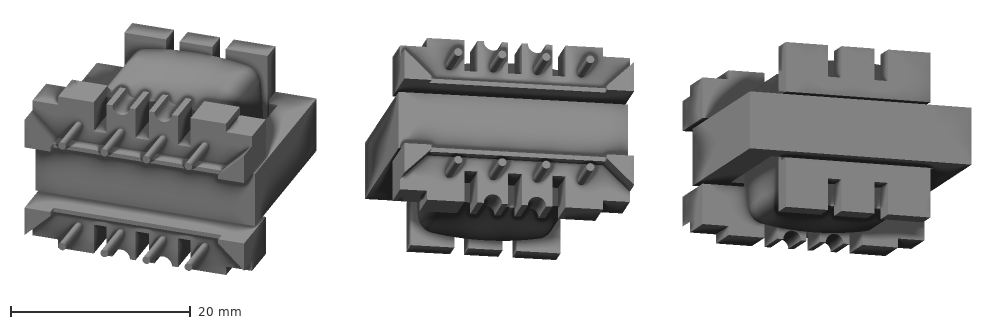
import cadquery as cq


OVERALL_LENGTH = 26.5
OVERALL_HEIGHT = 18.8

CORE_WIDTH = 26.0
CORE_LENGTH = 20.0
CORE_HEIGHT = 6.5
WINDOW_WIDTH = 19.03
WINDOW_LENGTH = 14.0

TOP_Z = OVERALL_HEIGHT / 2
GAP_ABOVE_CORE = 0.5
BLOCK_BOTTOM_Z = CORE_HEIGHT / 2 + GAP_ABOVE_CORE
SHOULDER_DROP = 1.03
SHOULDER_Z = TOP_Z - SHOULDER_DROP
SLOT_FLOOR_Z = 5.8

WINDING_LENGTH = 12.98
WINDING_HALF_WIDTH = 7.98
WINDING_HALF_HEIGHT = SHOULDER_Z
TOP_BULGE_RADIUS = 33.4
SIDE_BULGE_RADIUS = 57.77
WINDING_CORNER_RADIUS = 2.0

BACK_FLANGE_WIDTH = 16.95
BACK_FLANGE_DEPTH = 2.57
FRONT_PLATE_WIDTH = 15.9
BLOCK_DEPTH = 4.48
RAISED_WIDTH = 19.88
BLOCK_BACK_Y = -WINDING_LENGTH / 2
BLOCK_FRONT_Y = BLOCK_BACK_Y - BLOCK_DEPTH
PLATE_DEPTH = (WINDOW_LENGTH - WINDING_LENGTH) / 2

FOOT_DEPTH = 2.57
FOOT_OUTER_Z = 7.15
LEDGE_DEPTH = 1.45
LEDGE_THICKNESS = 0.5
LEDGE_TOP_Z = BLOCK_BOTTOM_Z + LEDGE_THICKNESS

PIN_PITCH = 4.98
PIN_DIAMETER = 0.9
PIN_Z = 6.25
PIN_TIP_Y = CORE_LENGTH / 2 - OVERALL_LENGTH

FRONT_SIDE_SLOT_WIDTH = 1.48
FRONT_CENTRE_SLOT_WIDTH = 1.6
BACK_SLOT_WIDTH = 1.6
BACK_SLOT_X = 2.73
GROOVE_RADIUS = 1.03


def box(width, y_start, y_end, z_bottom, z_top, x_centre=0.0):
    """Box centred on x_centre, between the given Y and Z limits."""
    return cq.Workplane("XY").box(width, abs(y_end - y_start), z_top - z_bottom).translate(
        (x_centre, (y_start + y_end) / 2, (z_bottom + z_top) / 2)
    )


def cylinder_along_y(radius, x, z, y_start, y_end):
    """Cylinder running in the -Y direction from y_start to y_end."""
    return (
        cq.Workplane("XZ", origin=(x, y_start, z))
        .circle(radius)
        .extrude(y_start - y_end)
    )


def with_lower_copy(shape):
    """The shape joined to its mirror image below the mid plane."""
    return shape.union(shape.mirror("XY"))


def make_core():
    """Rectangular frame with one open window."""
    frame = cq.Workplane("XY").box(CORE_WIDTH, CORE_LENGTH, CORE_HEIGHT)
    window = cq.Workplane("XY").box(WINDOW_WIDTH, WINDOW_LENGTH, CORE_HEIGHT)
    return frame.cut(window)


def make_winding():
    """Winding section: the area common to four large cylinders, with its corners rounded."""
    start_y = WINDING_LENGTH / 2
    top_offset = TOP_BULGE_RADIUS - WINDING_HALF_HEIGHT
    side_offset = SIDE_BULGE_RADIUS - WINDING_HALF_WIDTH
    winding = cylinder_along_y(TOP_BULGE_RADIUS, 0, -top_offset, start_y, -start_y)
    winding = winding.intersect(cylinder_along_y(TOP_BULGE_RADIUS, 0, top_offset, start_y, -start_y))
    for x in (-side_offset, side_offset):
        winding = winding.intersect(cylinder_along_y(SIDE_BULGE_RADIUS, x, 0, start_y, -start_y))
    return winding.edges("|Y").fillet(WINDING_CORNER_RADIUS)


def make_window_plates():
    """Thin end plates of the bobbin, which fit inside the core window."""
    inner_y = WINDING_LENGTH / 2
    outer_y = inner_y + PLATE_DEPTH
    back = box(BACK_FLANGE_WIDTH, inner_y, outer_y, -BLOCK_BOTTOM_Z, BLOCK_BOTTOM_Z)
    front = box(FRONT_PLATE_WIDTH, -outer_y, -inner_y, -BLOCK_BOTTOM_Z, BLOCK_BOTTOM_Z)
    return back.union(front)


def make_back_flange():
    """Upper back flange, with two wire slots open at the top."""
    front_y = WINDING_LENGTH / 2
    back_y = front_y + BACK_FLANGE_DEPTH
    flange = box(BACK_FLANGE_WIDTH, front_y, back_y, BLOCK_BOTTOM_Z, TOP_Z)
    for x in (-BACK_SLOT_X, BACK_SLOT_X):
        flange = flange.cut(box(BACK_SLOT_WIDTH, front_y, back_y, SLOT_FLOOR_Z, TOP_Z, x))
    return flange


def make_feet():
    """Triangular feet at both ends of the upper pin block."""
    outer_x = CORE_WIDTH / 2
    inner_x = RAISED_WIDTH / 2
    foot = (
        cq.Workplane("XZ", origin=(0, BLOCK_FRONT_Y, 0))
        .moveTo(inner_x, BLOCK_BOTTOM_Z)
        .lineTo(outer_x, BLOCK_BOTTOM_Z)
        .lineTo(outer_x, FOOT_OUTER_Z)
        .lineTo(inner_x, LEDGE_TOP_Z)
        .close()
        .extrude(FOOT_DEPTH)
    )
    return foot.union(foot.mirror("YZ"))


def make_pin_block():
    """Upper pin block, with feet, ledge, wire slots and wire grooves."""
    block = box(CORE_WIDTH, BLOCK_FRONT_Y, BLOCK_BACK_Y, BLOCK_BOTTOM_Z, SHOULDER_Z)
    raised = box(RAISED_WIDTH, BLOCK_FRONT_Y, BLOCK_BACK_Y, BLOCK_BOTTOM_Z, TOP_Z)
    ledge = box(RAISED_WIDTH, BLOCK_FRONT_Y - LEDGE_DEPTH, BLOCK_FRONT_Y, BLOCK_BOTTOM_Z, LEDGE_TOP_Z)
    block = block.union(raised).union(ledge).union(make_feet())

    slots = (
        (-PIN_PITCH, FRONT_SIDE_SLOT_WIDTH),
        (0.0, FRONT_CENTRE_SLOT_WIDTH),
        (PIN_PITCH, FRONT_SIDE_SLOT_WIDTH),
    )
    for x, width in slots:
        block = block.cut(box(width, BLOCK_FRONT_Y, BLOCK_BACK_Y, SLOT_FLOOR_Z, TOP_Z, x))

    for x in (-PIN_PITCH / 2, PIN_PITCH / 2):
        block = block.cut(cylinder_along_y(GROOVE_RADIUS, x, TOP_Z, BLOCK_BACK_Y, BLOCK_FRONT_Y))
    return block


def make_bobbin():
    """Bobbin and winding, as one solid."""
    bobbin = make_winding().union(make_window_plates())
    bobbin = bobbin.union(with_lower_copy(make_back_flange()))
    return bobbin.union(with_lower_copy(make_pin_block()))


def make_pins():
    """Two rows of four pins, standing on the front faces of the pin blocks."""
    pins = []
    for z in (-PIN_Z, PIN_Z):
        for step in (-1.5, -0.5, 0.5, 1.5):
            x = step * PIN_PITCH
            pins.append(cylinder_along_y(PIN_DIAMETER / 2, x, z, BLOCK_FRONT_Y, PIN_TIP_Y))
    return pins


core = make_core()
bobbin = make_bobbin()
pins = make_pins()

result = cq.Compound.makeCompound([core.val(), bobbin.val(), *[pin.val() for pin in pins]])